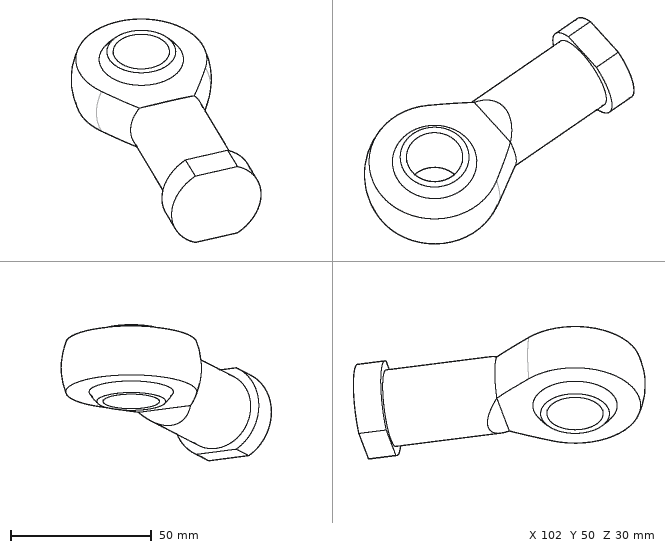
import cadquery as cq
import math


head_radius = 25.0
head_thickness = 18.0
neck_half_angle = math.radians(30.0)

ball_diameter = 35.0
ball_width = 25.0
bore_diameter = 20.0

shank_radius = 27.5 / 2
shank_end = 77.0
collar_radius = 34.0 / 2
collar_length = 10.0
collar_across_flats = 30.0
bevel_length = 5.4

tangent_x = head_radius * math.sin(neck_half_angle)
tangent_radius = head_radius * math.cos(neck_half_angle)
neck_end = tangent_x + (tangent_radius - shank_radius) / math.tan(neck_half_angle)
collar_start = shank_end - collar_length


def make_body():
    """Spherical head, conical neck and shank, turned about the X axis."""
    arc_middle_angle = (math.pi + math.pi / 2 - neck_half_angle) / 2
    arc_middle = (
        head_radius * math.cos(arc_middle_angle),
        head_radius * math.sin(arc_middle_angle),
    )
    return (
        cq.Workplane("XY")
        .moveTo(-head_radius, 0)
        .threePointArc(arc_middle, (tangent_x, tangent_radius))
        .lineTo(neck_end, shank_radius)
        .lineTo(shank_end, shank_radius)
        .lineTo(shank_end, 0)
        .close()
        .revolve(360, (0, 0, 0), (1, 0, 0))
    )


def make_side_envelope():
    """Flat-sided head that opens through sloped bevels to the full shank height."""
    head_half = head_thickness / 2
    bevel_end = neck_end + bevel_length
    return (
        cq.Workplane("XZ", origin=(0, head_radius, 0))
        .polyline([
            (-head_radius, -head_half),
            (neck_end, -head_half),
            (bevel_end, -shank_radius),
            (shank_end, -shank_radius),
            (shank_end, shank_radius),
            (bevel_end, shank_radius),
            (neck_end, head_half),
            (-head_radius, head_half),
        ])
        .close()
        .extrude(2 * head_radius)
    )


def make_collar():
    """Round collar with two wrench flats facing +Z and -Z."""
    collar_face = cq.Workplane("YZ", origin=(collar_start, 0, 0))
    disc = collar_face.circle(collar_radius).extrude(collar_length)
    flats = collar_face.rect(2 * collar_radius, collar_across_flats).extrude(collar_length)
    return disc.intersect(flats)


def make_ball():
    """Sphere cut flat at both ends of its width."""
    slab = cq.Workplane("XY").box(ball_diameter, ball_diameter, ball_width)
    return cq.Workplane("XY").sphere(ball_diameter / 2).intersect(slab)


def make_bore():
    """Pin bore through the full width of the ball."""
    return cq.Workplane("XY").cylinder(ball_width, bore_diameter / 2)


housing = make_body().intersect(make_side_envelope()).union(make_collar())
result = housing.union(make_ball()).cut(make_bore())